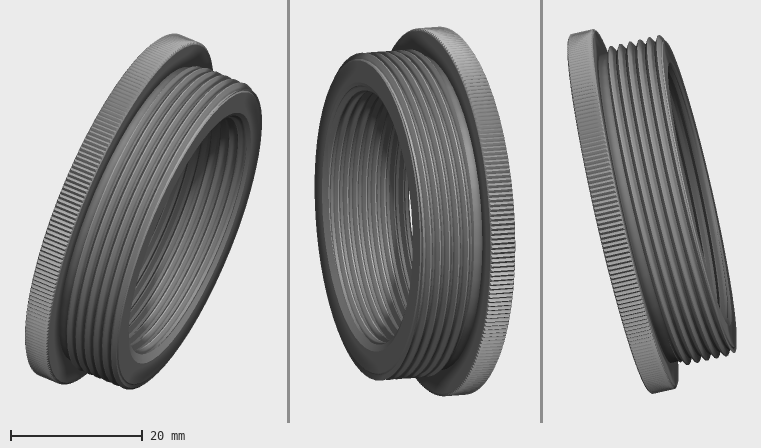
import cadquery as cq
import math

length = 14.0
outer_radius = 28.0

flange_thickness = 4.05
tooth_count = 240
tooth_depth = 0.35
knurl_root_radius = outer_radius - tooth_depth
flange_face_radius = 27.6
flange_chamfer_length = 0.3
joint_radius = 26.85

thread_pitch = 1.5
flank_slope = math.tan(math.radians(30))
crest_width = 0.15
sleeve_radius = 48.0 / 2
outer_crest_radius = 24.9
outer_thread_start = 5.5
outer_start_angle = 90
end_chamfer = 0.15
outer_thread_end = length - end_chamfer

bore_radius = 19.2
bore_root_radius = 20.0
bore_start_angle = 45
bore_mouth_radius = 20.5
bore_mouth_depth = 0.6

overlap = 0.1


def ring_solid(profile):
    """Revolve (x, radius) points around the X axis."""
    return cq.Workplane("XY").polyline(profile).close().revolve(360, (0, 0, 0), (1, 0, 0))


def helical_solid(profile, turns, start_x, start_angle):
    """Right-handed helical bar about X; profile is a loop of (axial offset, radius) points."""
    helices = [
        cq.Wire.makeHelix(thread_pitch, thread_pitch * turns, radius, cq.Vector(0, 0, offset)).Edges()[0]
        for offset, radius in profile
    ]
    faces = [
        cq.Face.makeRuledSurface(edge, helices[(index + 1) % len(helices)])
        for index, edge in enumerate(helices)
    ]
    for position in (0, 1):
        corners = [edge.positionAt(position) for edge in helices]
        faces.append(cq.Face.makeFromWires(cq.Wire.makePolygon(corners, close=True)))
    bar = cq.Solid.makeSolid(cq.Shell.makeShell(faces))
    bar = bar.rotate(cq.Vector(0, 0, 0), cq.Vector(1, 1, 1), 120)
    bar = bar.rotate(cq.Vector(0, 0, 0), cq.Vector(1, 0, 0), start_angle)
    return cq.Workplane(bar.translate(cq.Vector(start_x, 0, 0)))


def tube(start_x, end_x, inner_radius, outer_radius):
    return ring_solid([
        (start_x, inner_radius),
        (start_x, outer_radius),
        (end_x, outer_radius),
        (end_x, inner_radius),
    ])


def knurled_ring():
    half_pitch = math.pi / tooth_count
    outline = []
    for index in range(2 * tooth_count):
        radius = outer_radius if index % 2 == 0 else knurl_root_radius
        angle = index * half_pitch
        outline.append((radius * math.cos(angle), radius * math.sin(angle)))
    knurl = cq.Workplane("YZ").polyline(outline).close().extrude(flange_thickness)
    chamfered_ring = ring_solid([
        (0, joint_radius),
        (0, flange_face_radius),
        (flange_chamfer_length, outer_radius),
        (flange_thickness - flange_chamfer_length, outer_radius),
        (flange_thickness, flange_face_radius),
        (flange_thickness, joint_radius),
    ])
    return knurl.intersect(chamfered_ring)


def outer_thread():
    base_radius = sleeve_radius - overlap
    half_crest = crest_width / 2
    half_base = half_crest + (outer_crest_radius - base_radius) * flank_slope
    ridge = helical_solid(
        [
            (-half_base, base_radius),
            (-half_crest, outer_crest_radius),
            (half_crest, outer_crest_radius),
            (half_base, base_radius),
        ],
        math.ceil((length - outer_thread_start) / thread_pitch) + 2,
        outer_thread_start - thread_pitch,
        outer_start_angle,
    )
    threaded_zone = tube(
        outer_thread_start, outer_thread_end, base_radius - overlap, outer_crest_radius + overlap
    )
    return ridge.intersect(threaded_zone)


def bore_thread_groove():
    opening_radius = bore_radius - overlap
    half_root = (thread_pitch - crest_width) / 2 - (bore_root_radius - bore_radius) * flank_slope
    half_opening = half_root + (bore_root_radius - opening_radius) * flank_slope
    groove = helical_solid(
        [
            (-half_opening, opening_radius),
            (-half_root, bore_root_radius),
            (half_root, bore_root_radius),
            (half_opening, opening_radius),
        ],
        math.ceil(length / thread_pitch) + 1,
        0,
        bore_start_angle,
    )
    threaded_zone = tube(
        -overlap, length + overlap, opening_radius - overlap, bore_root_radius + overlap
    )
    return groove.intersect(threaded_zone)


def bore_mouth():
    return ring_solid([(0, 0), (0, bore_mouth_radius), (bore_mouth_depth, bore_radius), (bore_mouth_depth, 0)])


def bore_mouths():
    """Matching countersinks at both ends of the bore."""
    near_mouth = bore_mouth()
    far_mouth = bore_mouth().mirror("YZ").translate((length, 0, 0))
    return near_mouth, far_mouth


def threaded_body():
    disc = tube(0, flange_thickness, bore_radius, joint_radius)
    sleeve = ring_solid([
        (0, bore_radius),
        (0, sleeve_radius),
        (outer_thread_end, sleeve_radius),
        (length, sleeve_radius - end_chamfer),
        (length, bore_radius),
    ])
    body = disc.union(sleeve).cut(bore_thread_groove())
    for mouth in bore_mouths():
        body = body.cut(mouth)
    return body.union(outer_thread())


def faces_off_joint(part):
    """Every face except the cylinder of joint radius."""
    return [
        face for face in part.faces().vals()
        if face.geomType() != "CYLINDER" or abs(face.BoundingBox().ymax - joint_radius) > overlap
    ]


skin = cq.Shell.makeShell(faces_off_joint(threaded_body()) + faces_off_joint(knurled_ring()))
result = cq.Workplane(cq.Solid.makeSolid(skin)).clean()